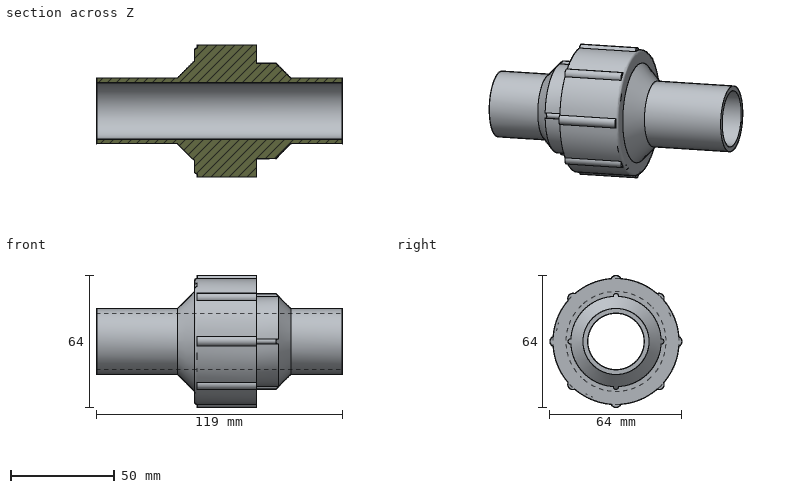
import cadquery as cq

length = 119.0
pipe_radius = 32.0 / 2
bore_radius = 27.3 / 2

left_cone_start = 39.2
nut_start = 47.4
nut_end = 77.5
right_cone_end = 94.0

nut_radius = 30.6
nut_edge_rounding = 1.3
grip_count = 8
grip_tip_radius = 32.0
grip_rounding = 2.5

collar_radius = 21.9
collar_rib_count = 4
collar_rib_rounding = 1.3

left_cone_radius = pipe_radius + nut_start - left_cone_start


def cylinder(radius, start, end):
    """Solid cylinder parallel to X between two axial positions."""
    plane = cq.Workplane("YZ", origin=(start - length / 2, 0, 0))
    return plane.circle(radius).extrude(end - start)


def cone(start_radius, end_radius, start, end):
    """Solid truncated cone on the X axis."""
    x_start = start - length / 2
    x_end = end - length / 2
    profile = [(x_start, 0), (x_start, start_radius), (x_end, end_radius), (x_end, 0)]
    return cq.Workplane("XY").polyline(profile).close().revolve(360, (0, 0, 0), (1, 0, 0))


def ribs(count, rounding, centre_radius, start, end):
    """Round bars parallel to X, evenly spaced around the axis."""
    plane = cq.Workplane("YZ", origin=(start - length / 2, 0, 0))
    return plane.polarArray(centre_radius, 0, 360, count).circle(rounding).extrude(end - start)


def make_nut():
    body = cylinder(nut_radius, nut_start, nut_end).faces("<X").edges().fillet(nut_edge_rounding)
    grips = ribs(
        grip_count,
        grip_rounding,
        grip_tip_radius - grip_rounding,
        nut_start + nut_edge_rounding,
        nut_end,
    )
    return body.union(grips)


def make_collar():
    blank = cylinder(collar_radius, nut_end, right_cone_end)
    collar_ribs = ribs(collar_rib_count, collar_rib_rounding, collar_radius, nut_end, right_cone_end)
    cone_base_radius = pipe_radius + right_cone_end - nut_end
    cone_limit = cone(cone_base_radius, pipe_radius, nut_end, right_cone_end)
    return blank.union(collar_ribs).intersect(cone_limit)


pipe = cylinder(pipe_radius, 0, length)
left_cone = cone(pipe_radius, left_cone_radius, left_cone_start, nut_start)
bore = cylinder(bore_radius, 0, length)

result = pipe.union(left_cone).union(make_nut()).union(make_collar()).cut(bore)